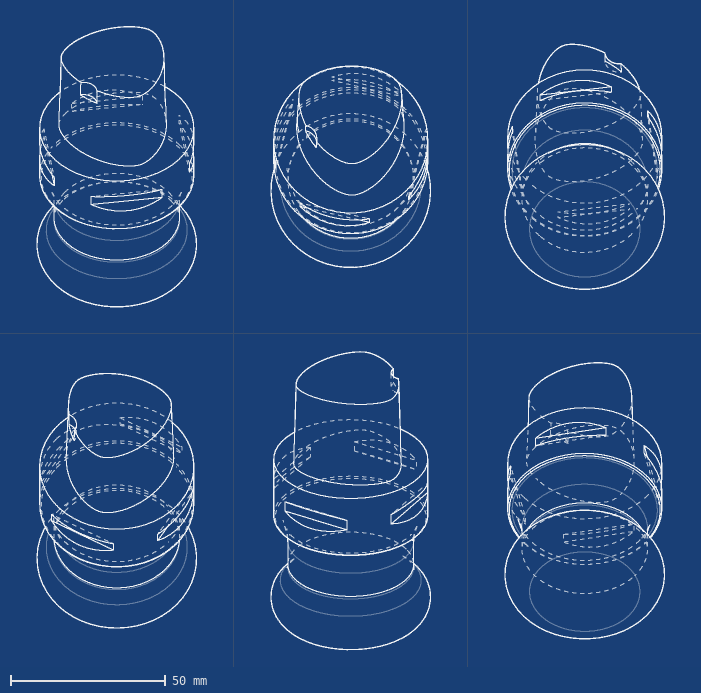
import cadquery as cq
import math

total_height = 90.0
flange_top = 60.0
flange_bottom = 38.2
neck_flare_start = 29.1
split_height = 20.3
head_band_height = 1.0

flange_radius = 50.0 / 2
flange_chamfer = 0.5
neck_radius = 40.9 / 2
flare_width = 3.15
head_radius = 25.9
rim_radius = 8.0

shank_base_radius = 17.5
shank_lobe = 1.4
shank_taper = 1 / 20
shank_curve_points = 48

notch_radius = 4.5
notch_center_y = -18.2
notch_depth = 5.5

groove_count = 4
groove_first_angle = 45
groove_height = 49.95
groove_floor_width = 3.5
groove_floor_distance = 22.1
groove_wall_angle = 30


def make_shank():
    """Tapered three-lobed shank with the notch on its -Y side."""
    height = total_height - flange_top
    top_radius = shank_base_radius - height * shank_taper / 2

    def outline(mean_radius):
        points = []
        for i in range(shank_curve_points):
            angle = 2 * math.pi * i / shank_curve_points
            along = (mean_radius * math.cos(angle) + 2 * shank_lobe * math.cos(2 * angle)
                     - shank_lobe * math.cos(4 * angle))
            across = (mean_radius * math.sin(angle) - 2 * shank_lobe * math.sin(2 * angle)
                      - shank_lobe * math.sin(4 * angle))
            points.append(cq.Vector(-across, along))
        return cq.Wire.assembleEdges([cq.Edge.makeSpline(points, periodic=True)])

    base = outline(shank_base_radius).translate(cq.Vector(0, 0, flange_top))
    top = outline(top_radius).translate(cq.Vector(0, 0, total_height))
    shank = cq.Workplane(cq.Solid.makeLoft([base, top], True))
    notch = (
        cq.Workplane("XY", origin=(0, notch_center_y, total_height - notch_depth))
        .circle(notch_radius)
        .extrude(notch_depth)
    )
    return shank.cut(notch)


def make_flange_and_neck():
    """Revolved flange that flares down into the cylindrical neck."""
    flare_height = flange_bottom - neck_flare_start
    half_sine = math.sin(math.pi / 4)
    flare_middle = (
        neck_radius + flare_width * (1 - half_sine),
        neck_flare_start + flare_height * half_sine,
    )
    return (
        cq.Workplane("XZ")
        .moveTo(0, split_height)
        .lineTo(neck_radius, split_height)
        .lineTo(neck_radius, neck_flare_start)
        .spline(
            [flare_middle, (neck_radius + flare_width, flange_bottom)],
            tangents=[(0, 1), (1, 0)],
            includeCurrent=True,
        )
        .lineTo(flange_radius - flange_chamfer, flange_bottom)
        .lineTo(flange_radius, flange_bottom + flange_chamfer)
        .lineTo(flange_radius, flange_top)
        .lineTo(0, flange_top)
        .close()
        .revolve(360, (0, 0), (0, 1))
    )


def make_groove(angle):
    """Straight groove with a flat floor and sloping walls, cut across the flange."""
    depth = 2 * (flange_radius - groove_floor_distance)
    outer = groove_floor_distance + depth
    floor_half = groove_floor_width / 2
    mouth_half = floor_half + depth * math.tan(math.radians(groove_wall_angle))
    return (
        cq.Workplane("XZ")
        .polyline([
            (groove_floor_distance, groove_height - floor_half),
            (outer, groove_height - mouth_half),
            (outer, groove_height + mouth_half),
            (groove_floor_distance, groove_height + floor_half),
        ])
        .close()
        .extrude(flange_radius, both=True)
        .rotate((0, 0, 0), (0, 0, 1), angle)
    )


def make_holder():
    """Shank, flange and neck in one solid."""
    holder = make_flange_and_neck().union(make_shank())
    for i in range(groove_count):
        holder = holder.cut(make_groove(groove_first_angle + i * 360 / groove_count))
    return holder.solids()


def make_head():
    """Round-rimmed head, with a concave arc blending the rim into the neck."""
    band_bottom = split_height - head_band_height
    rim_center = (head_radius - rim_radius, rim_radius)

    inset = neck_radius - rim_center[0]
    rise = band_bottom - rim_center[1]
    blend_radius = (inset**2 + rise**2 - rim_radius**2) / (2 * (rim_radius - inset))
    blend_center = (neck_radius + blend_radius, band_bottom)
    center_angle = math.atan2(rise, inset + blend_radius)

    def on_circle(center, radius, angle):
        return (center[0] + radius * math.cos(angle), center[1] + radius * math.sin(angle))

    tangent_point = on_circle(rim_center, rim_radius, center_angle)
    blend_middle = on_circle(blend_center, blend_radius, math.pi + center_angle / 2)
    return (
        cq.Workplane("XZ")
        .lineTo(rim_center[0], 0)
        .threePointArc((head_radius, rim_center[1]), tangent_point)
        .threePointArc(blend_middle, (neck_radius, band_bottom))
        .lineTo(neck_radius, split_height)
        .lineTo(0, split_height)
        .close()
        .revolve(360, (0, 0), (0, 1))
    )


holder = make_holder()
head = make_head()
result = cq.Compound.makeCompound([holder.val(), head.val()])